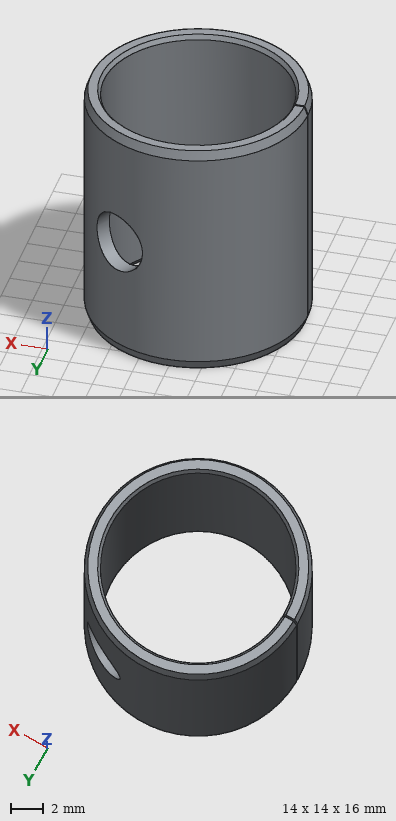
import cadquery as cq
import math

outer_diameter = 14.0
bore_diameter = 12
height = 16
outer_radius = outer_diameter / 2
inner_radius = bore_diameter / 2

lead_height = 0.6
lead_angle = 20
lead_depth = lead_height * math.tan(math.radians(lead_angle))
bore_chamfer_height = 0.3
bore_chamfer_depth = 0.18

joint_angle = 1.0
wrap_angle = 360 - joint_angle

oil_hole_diameter = 4
hole_to_joint_angle = 120
oil_hole_angle = 180 - joint_angle / 2 - hole_to_joint_angle


def split_bushing():
    """Revolve the chamfered wall section about Z, stopping short of a full turn."""
    section = [
        (-inner_radius - bore_chamfer_depth, 0),
        (-outer_radius + lead_depth, 0),
        (-outer_radius, lead_height),
        (-outer_radius, height - lead_height),
        (-outer_radius + lead_depth, height),
        (-inner_radius - bore_chamfer_depth, height),
        (-inner_radius, height - bore_chamfer_height),
        (-inner_radius, bore_chamfer_height),
    ]
    profile = cq.Workplane("XZ").polyline(section).close()
    return profile.revolve(wrap_angle, (0, 0, 0), (0, 1, 0))


def oil_hole():
    """Radial cylinder from the axis out through one wall."""
    angle = math.radians(oil_hole_angle)
    direction = cq.Vector(math.cos(angle), math.sin(angle), 0)
    centre = cq.Vector(0, 0, height / 2)
    cutter = cq.Solid.makeCylinder(oil_hole_diameter / 2, outer_diameter, centre, direction)
    return cq.Workplane(obj=cutter)


result = split_bushing().cut(oil_hole())